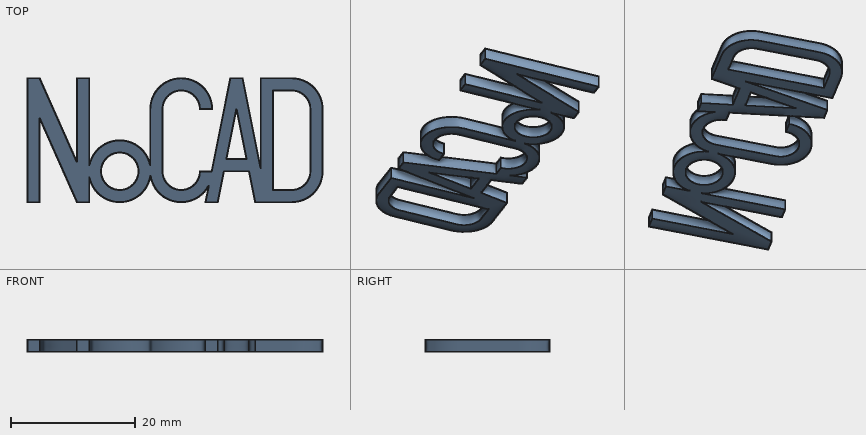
import cadquery as cq

thickness = 2.0
height = 20.0
width = 10.0
stroke = 2.0
overlap = 0.1
slant_overlap = 1.1

outer_radius = width / 2
inner_radius = outer_radius - stroke
lower_centre = outer_radius
upper_centre = height - outer_radius

n_left = 0.0
o_left = n_left + width - overlap
c_left = o_left + width - overlap
a_left = c_left + width - slant_overlap
d_left = a_left + width - slant_overlap


def box(x_min, y_min, x_max, y_max):
    """Plate-thick rectangular block between two corners."""
    return cq.Workplane("XY").box(
        x_max - x_min, y_max - y_min, thickness, centered=False
    ).translate((x_min, y_min, 0))


def polygon(points):
    """Plate-thick prism with straight edges through the points."""
    return cq.Workplane("XY").polyline(points).close().extrude(thickness)


def letter_n():
    """Two stems joined by a diagonal that runs into the stem corners."""
    left_stem = box(0, 0, stroke, height)
    right_stem = box(width - stroke, 0, width, height)
    diagonal = polygon([
        (0, height),
        (stroke, height),
        (width, stroke),
        (width, 0),
        (width - stroke, 0),
        (0, height - stroke),
    ])
    return left_stem.union(diagonal).union(right_stem)


def letter_o():
    """Low round ring."""
    return (
        cq.Workplane("XY")
        .center(outer_radius, lower_centre)
        .circle(outer_radius)
        .circle(inner_radius)
        .extrude(thickness)
    )


def letter_c():
    """Tall ring with round ends, open on the right between the arc centres."""
    ring = (
        cq.Workplane("XY")
        .center(width / 2, height / 2)
        .slot2D(height, 2 * outer_radius, 90)
        .slot2D(height - 2 * stroke, 2 * inner_radius, 90)
        .extrude(thickness)
    )
    return ring.cut(box(width / 2, lower_centre, width, upper_centre))


def letter_a():
    """Two slanted legs meeting in a flat top, with a crossbar."""
    middle = width / 2
    top_half_width = stroke / 2
    bar_bottom = 5.0
    bar_top = bar_bottom + stroke
    leg_run = middle - top_half_width
    slope = height / leg_run
    apex_height = slope * (middle - stroke)

    def inner_half_width(y):
        return (apex_height - y) / slope

    outline = polygon([
        (0, 0),
        (leg_run, height),
        (leg_run + stroke, height),
        (width, 0),
    ])
    window = polygon([
        (middle - inner_half_width(bar_top), bar_top),
        (middle, apex_height),
        (middle + inner_half_width(bar_top), bar_top),
    ])
    leg_gap = polygon([
        (middle - inner_half_width(0), 0),
        (middle - inner_half_width(bar_bottom), bar_bottom),
        (middle + inner_half_width(bar_bottom), bar_bottom),
        (middle + inner_half_width(0), 0),
    ])
    return outline.cut(window).cut(leg_gap)


def letter_d():
    """Rectangular frame with its right-hand corners rounded inside and out."""
    outline = box(0, 0, width, height).edges("|Z and >X").fillet(outer_radius)
    opening = box(stroke, stroke, width - stroke, height - stroke)
    opening = opening.edges("|Z and >X").fillet(inner_radius)
    return outline.cut(opening)


result = letter_n().translate((n_left, 0, 0))
for letter, left in (
    (letter_o(), o_left),
    (letter_c(), c_left),
    (letter_a(), a_left),
    (letter_d(), d_left),
):
    result = result.union(letter.translate((left, 0, 0)))